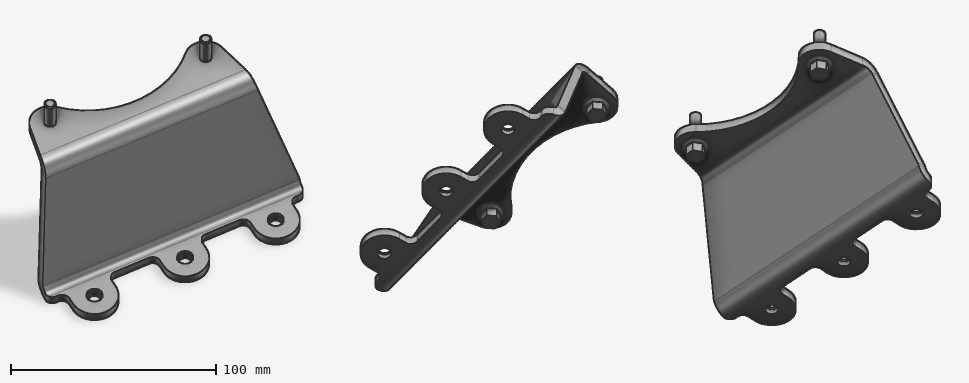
import cadquery as cq
import math

thickness = 5.0
inner_bend_radius = 5.0
outer_bend_radius = inner_bend_radius + thickness
neutral_bend_radius = (inner_bend_radius + outer_bend_radius) / 2
bend_angle = math.radians(70)
sheet_height = 70.1
half_width = 70.9
upper_flat_end = 25.8
shoulder_offset = 0.9
shoulder_radius = 7.1

ear_radius = 10.2
ear_x = ear_radius
bolt_y = 43.0
scallop_radius = 50.1

overall_length = 81.4
tab_radius = 11.8
tab_pitch = 50.1
tab_root_x = 61.5
tab_fillet = 4.0
tab_x = overall_length - tab_radius
tab_hole_diameter = 6.7
counterbore_diameter = 8.0
counterbore_depth = 2.0

shank_diameter = 5.8
bolt_top = 85.0
tip_chamfer = 0.7
head_height = 7.0
flange_diameter = 13.0
flange_rim = 0.7
flange_height = 1.7
flange_neck_diameter = 8.8
hex_across_flats = 8.2

underside = sheet_height - thickness
bend_rise = neutral_bend_radius * (1 - math.cos(bend_angle))
bend_run = neutral_bend_radius * math.sin(bend_angle)
web_drop = underside - 2 * bend_rise
web_length = web_drop / math.sin(bend_angle)
web_run = web_drop / math.tan(bend_angle)
lower_flat_start = upper_flat_end + 2 * bend_run + web_run
upper_bend_z = sheet_height - outer_bend_radius
lower_bend_z = outer_bend_radius

tapered_web = web_length - shoulder_offset
unfolded_bend = neutral_bend_radius * bend_angle
shoulder_to_ear = tapered_web + unfolded_bend + upper_flat_end - ear_x
shoulder_above_ear = half_width - bolt_y
taper_angle = math.atan2(shoulder_above_ear, shoulder_to_ear) - math.asin(
    ear_radius / math.hypot(shoulder_to_ear, shoulder_above_ear)
)
web_top_half = half_width - tapered_web * math.tan(taper_angle)
flat_end_half = web_top_half - unfolded_bend * math.tan(taper_angle)


def make_upper_flat():
    """Horizontal flat with two round ears and a scallop tangent to both."""
    scallop_x = ear_x - math.sqrt((scallop_radius + ear_radius) ** 2 - bolt_y**2)
    scallop_angle = math.atan2(bolt_y, ear_x - scallop_x)
    side_x = ear_x - ear_radius * math.sin(taper_angle)
    side_y = bolt_y + ear_radius * math.cos(taper_angle)
    inner_x = scallop_x + scallop_radius * math.cos(scallop_angle)
    inner_y = scallop_radius * math.sin(scallop_angle)
    return (
        cq.Workplane("XY", origin=(0, 0, underside))
        .moveTo(upper_flat_end, -flat_end_half)
        .lineTo(upper_flat_end, flat_end_half)
        .lineTo(side_x, side_y)
        .threePointArc((ear_x - ear_radius, bolt_y), (inner_x, inner_y))
        .threePointArc((scallop_x + scallop_radius, 0), (inner_x, -inner_y))
        .threePointArc((ear_x - ear_radius, -bolt_y), (side_x, -side_y))
        .close()
        .extrude(thickness)
    )


def make_bend_ring(center_x, center_z):
    """Full ring along Y from which a bend is cut."""
    return (
        cq.Workplane("XZ", origin=(center_x, 0, center_z))
        .circle(outer_bend_radius)
        .circle(inner_bend_radius)
        .extrude(half_width, both=True)
    )


def make_bend_wedge(center_x, center_z, start_angle, start_half, end_half):
    """Wedge over the bend, its half width changing evenly between two radial sections."""
    near = inner_bend_radius / 2
    far = 2 * outer_bend_radius
    sections = []
    for angle, half in ((start_angle, start_half), (start_angle - bend_angle, end_half)):
        corners = [
            cq.Vector(
                center_x + radius * math.cos(angle),
                y,
                center_z + radius * math.sin(angle),
            )
            for radius, y in ((near, -half), (far, -half), (far, half), (near, half))
        ]
        sections.append(cq.Wire.makePolygon(corners, close=True))
    return cq.Workplane(cq.Solid.makeLoft(sections, True))


def make_upper_bend():
    ring = make_bend_ring(upper_flat_end, upper_bend_z)
    return ring.intersect(
        make_bend_wedge(upper_flat_end, upper_bend_z, math.pi / 2, flat_end_half, web_top_half)
    )


def make_web():
    """Sloping web, outlined in its own plane from the upper bend down to the lower one."""
    outer_start = (
        upper_flat_end + outer_bend_radius * math.sin(bend_angle),
        0,
        upper_bend_z + outer_bend_radius * math.cos(bend_angle),
    )
    web_plane = cq.Plane(
        origin=outer_start,
        xDir=(math.cos(bend_angle), 0, -math.sin(bend_angle)),
        normal=(math.sin(bend_angle), 0, math.cos(bend_angle)),
    )
    outline = [
        (0, web_top_half),
        (tapered_web, half_width),
        (web_length, half_width),
        (web_length, -half_width),
        (tapered_web, -half_width),
        (0, -web_top_half),
    ]
    web = cq.Workplane(web_plane).polyline(outline).close().extrude(-thickness)
    shoulder_middle = web_plane.toWorldCoords((tapered_web, 0, -thickness / 2))
    for side in (-1, 1):
        shoulder = cq.Vector(shoulder_middle.x, side * half_width, shoulder_middle.z)
        web = web.edges(cq.NearestToPointSelector(shoulder.toTuple())).fillet(shoulder_radius)
    return web


def make_lower_end():
    """Lower bend and flat, trimmed to a rounded outline with three counterbored tabs."""
    bend = make_bend_ring(lower_flat_start, lower_bend_z).intersect(
        make_bend_wedge(
            lower_flat_start, lower_bend_z, -math.pi / 2, half_width, half_width
        )
    )
    strip = bend.union(
        cq.Workplane("XY").box(
            overall_length - lower_flat_start, 2 * half_width, thickness, centered=(False, True, False)
        ).translate((lower_flat_start, 0, 0))
    )

    outline_start = upper_flat_end
    outline = (
        cq.Workplane("XY")
        .box(tab_root_x - outline_start, 2 * half_width, sheet_height, centered=(False, True, False))
        .translate((outline_start, 0, 0))
    )
    tab_centers = [(tab_x, row * tab_pitch) for row in (-1, 0, 1)]
    tab_reach = tab_x - outline_start
    for x, y in tab_centers:
        arm = cq.Workplane("XY").center(x - tab_reach / 2, y).rect(tab_reach, 2 * tab_radius)
        outline = outline.union(arm.extrude(sheet_height))
        outline = outline.union(cq.Workplane("XY").center(x, y).circle(tab_radius).extrude(sheet_height))
    margin = 0.1
    root_edges = cq.selectors.BoxSelector(
        (tab_root_x - margin, -half_width - margin, 0),
        (tab_root_x + margin, half_width + margin, sheet_height),
    )
    outline = outline.edges("|Z").edges(root_edges).fillet(tab_fillet)

    through_holes = cq.Workplane("XY").pushPoints(tab_centers).circle(tab_hole_diameter / 2).extrude(thickness)
    counterbores = (
        cq.Workplane("XY", origin=(0, 0, thickness))
        .pushPoints(tab_centers)
        .circle(counterbore_diameter / 2)
        .extrude(-counterbore_depth)
    )
    return strip.intersect(outline).cut(through_holes).cut(counterbores)


def make_bracket():
    bracket = make_upper_flat().union(make_upper_bend()).union(make_web()).union(make_lower_end())
    bolt_holes = (
        cq.Workplane("XY", origin=(0, 0, underside))
        .pushPoints([(ear_x, -bolt_y), (ear_x, bolt_y)])
        .circle(shank_diameter / 2)
        .extrude(thickness)
    )
    return bracket.cut(bolt_holes)


def make_bolt(y):
    """Bolt from below: hex head, conical flange under the sheet and chamfered shank."""
    shank_radius = shank_diameter / 2
    flange_radius = flange_diameter / 2
    turned = (
        cq.Workplane("XZ")
        .polyline(
            [
                (0, underside - flange_height),
                (flange_neck_diameter / 2, underside - flange_height),
                (flange_radius, underside - flange_rim),
                (flange_radius, underside),
                (shank_radius, underside),
                (shank_radius, bolt_top - tip_chamfer),
                (shank_radius - tip_chamfer, bolt_top),
                (0, bolt_top),
            ]
        )
        .close()
        .revolve(360, (0, 0), (0, 1))
    )
    across_corners = hex_across_flats / math.cos(math.pi / 6)
    hexagon = (
        cq.Workplane("XY", origin=(0, 0, underside - head_height))
        .transformed(rotate=(0, 0, 90))
        .polygon(6, across_corners)
        .extrude(head_height - flange_rim)
    )
    return turned.union(hexagon).translate((ear_x, y, 0))


bracket = make_bracket()
bolts = [make_bolt(side * bolt_y) for side in (-1, 1)]
result = cq.Compound.makeCompound([bracket.val(), *[bolt.val() for bolt in bolts]])